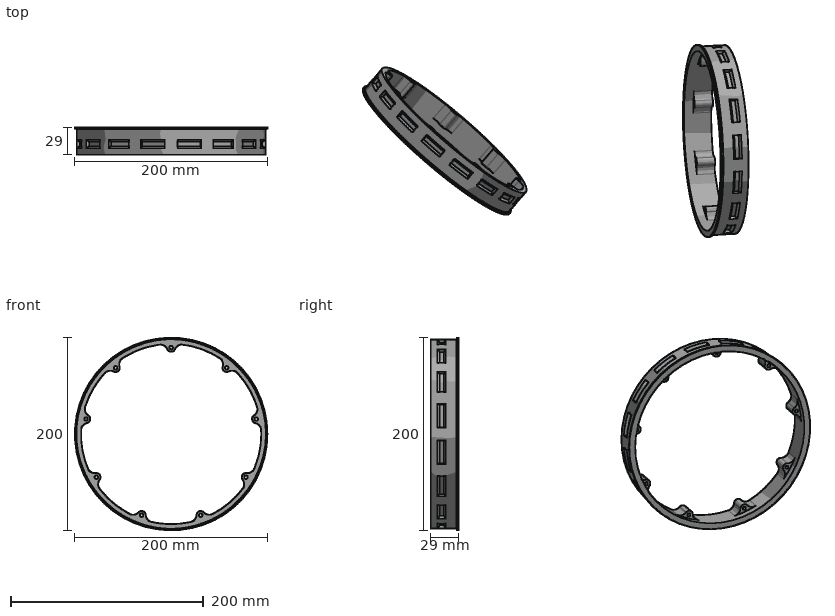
import cadquery as cq
import math

outer_diameter = 196.5
inner_diameter = 186.8
ring_length = 29.0
flange_diameter = 200.0
flange_thickness = 1.8

root_cone_length = 0.5
root_cone_width = 1.0

boss_count = 9
boss_radius = 4.4
boss_length = 19.4
boss_circle_radius = 89.5
boss_blend_radius = 8.0
screw_hole_diameter = 3.4

pocket_count = 16
pocket_width = 25.0
pocket_depth = 3.4
pocket_height = 8.8
pocket_floor_height = 4.4
pocket_center_from_flange = 17.5

outer_radius = outer_diameter / 2
inner_radius = inner_diameter / 2
flange_face = ring_length / 2
front_face = -ring_length / 2


def disc(radius, start, end):
    """Cylinder on the Y axis between two Y positions."""
    return cq.Workplane("XZ", origin=(0, start, 0)).circle(radius).extrude(start - end)


def point_at(radius, angle, center=(0, 0)):
    """Point at a radius and an angle (radians from +Z toward +X) about a center."""
    return (center[0] + radius * math.sin(angle), center[1] + radius * math.cos(angle))


def root_cone():
    """Shallow cone that eases the outer wall into the flange."""
    flange_underside = flange_face - flange_thickness
    return (
        cq.Workplane("XY")
        .polyline([
            (0, flange_underside - root_cone_length),
            (outer_radius, flange_underside - root_cone_length),
            (outer_radius + root_cone_width, flange_underside),
            (0, flange_underside),
        ])
        .close()
        .revolve(360, (0, 0), (0, 1))
    )


def boss():
    """Boss at the top of the ring, blended into the inner wall on both sides."""
    blend_path_radius = inner_radius - boss_blend_radius
    blend_to_boss = boss_radius + boss_blend_radius
    cos_blend = (blend_path_radius**2 + boss_circle_radius**2 - blend_to_boss**2) / (
        2 * blend_path_radius * boss_circle_radius
    )
    blend_angle = math.acos(cos_blend)
    blend_center = point_at(blend_path_radius, blend_angle)
    wall_end = point_at(inner_radius, blend_angle)

    toward_boss = math.atan2(-blend_center[0], boss_circle_radius - blend_center[1])
    boss_end = point_at(boss_blend_radius, toward_boss, blend_center)
    blend_middle = point_at(boss_blend_radius, (blend_angle + toward_boss) / 2, blend_center)

    mid_wall_radius = (inner_radius + outer_radius - pocket_depth) / 2
    root = point_at(mid_wall_radius, blend_angle)

    def mirrored(point):
        return (-point[0], point[1])

    return (
        cq.Workplane("XZ", origin=(0, front_face, 0))
        .moveTo(*root)
        .lineTo(*wall_end)
        .threePointArc(blend_middle, boss_end)
        .threePointArc((0, boss_circle_radius - boss_radius), mirrored(boss_end))
        .threePointArc(mirrored(blend_middle), mirrored(wall_end))
        .lineTo(*mirrored(root))
        .threePointArc((0, mid_wall_radius), root)
        .close()
        .extrude(-boss_length)
    )


def screw_hole():
    """Through hole in the boss at the top of the ring."""
    return (
        cq.Workplane("XZ", origin=(0, front_face, 0))
        .center(0, boss_circle_radius)
        .circle(screw_hole_diameter / 2)
        .extrude(-boss_length)
    )


def pocket():
    """Pocket with a curved floor, sloped long walls and radial end walls, starting at +Z."""
    center_y = flange_face - pocket_center_from_flange
    wall_slope = (pocket_height - pocket_floor_height) / 2 / pocket_depth
    floor_radius = outer_radius - pocket_depth
    cutter_radius = flange_diameter / 2
    half_floor = pocket_floor_height / 2
    half_top = half_floor + wall_slope * (cutter_radius - floor_radius)
    sweep = math.degrees(2 * math.asin(pocket_width / 2 / outer_radius))
    return (
        cq.Workplane("YZ")
        .polyline([
            (center_y - half_floor, floor_radius),
            (center_y + half_floor, floor_radius),
            (center_y + half_top, cutter_radius),
            (center_y - half_top, cutter_radius),
        ])
        .close()
        .revolve(sweep, (0, 0), (1, 0))
        .rotate((0, 0, 0), (0, 1, 0), -sweep / 2)
    )


def around(feature, index, count, offset=0.0):
    """Feature turned about the ring axis to one of the evenly spaced places."""
    return feature.rotate((0, 0, 0), (0, 1, 0), (index + offset) * 360 / count)


result = disc(outer_radius, front_face, flange_face)
result = result.union(root_cone())
result = result.union(disc(flange_diameter / 2, flange_face - flange_thickness, flange_face))
result = result.cut(disc(inner_radius, front_face, flange_face))

for index in range(boss_count):
    result = result.union(around(boss(), index, boss_count))
    result = result.cut(around(screw_hole(), index, boss_count))

for index in range(pocket_count):
    result = result.cut(around(pocket(), index, pocket_count, 0.5))